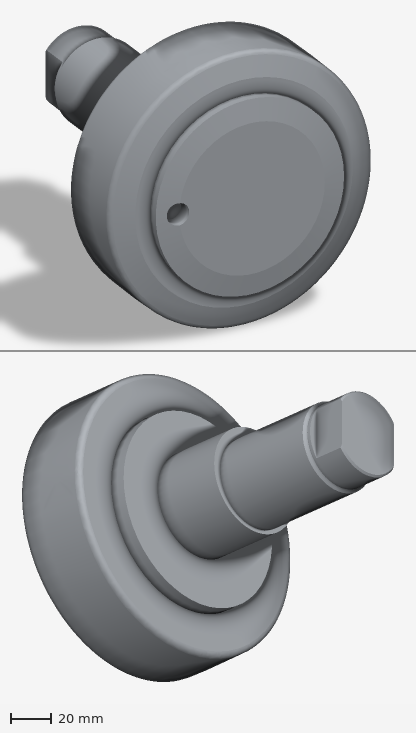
import cadquery as cq


tip_diameter = 45.0
tip_length = 20.0
tip_chamfer = 1.0
flat_length = 18.0
across_flats = 36.0

shank_diameter = 48.0
shank_chamfer_length = 1.6
collar_diameter = 56.0
collar_start = 80.0
collar_offset = 2.0

washer_diameter = 103.0
washer_start = 120.1

roller_diameter = 149.0
roller_start = 128.7
roller_end = 173.6
crown_radius = 500.5
corner_radius = 3.0
shoulder_start = 169.8
shoulder_end_diameter = 122.3

clearance_diameter = 103.5
clearance_depth = 2.0

neck_diameter = 101.2
cap_diameter = 106.0
cap_start = 174.5
cap_cone_start = 179.8
cap_face_diameter = 81.9
total_length = 182.0

hole_diameter = 12.0
hole_depth = 12.0
hole_distance = 41.3


def disc(start, end, diameter):
    """Cylinder along X between two stations."""
    return cq.Workplane("YZ").workplane(offset=start).circle(diameter / 2).extrude(end - start)


def revolved(outline):
    """Turn an outline drawn in the XY plane around the X axis."""
    return outline.close().revolve(360, (0, 0, 0), (1, 0, 0))


def make_stud():
    tip_radius = tip_diameter / 2
    shank_radius = shank_diameter / 2
    profile = (
        cq.Workplane("XY")
        .moveTo(0, 0)
        .lineTo(0, tip_radius - tip_chamfer)
        .lineTo(tip_chamfer, tip_radius)
        .lineTo(tip_length, tip_radius)
        .lineTo(tip_length + shank_chamfer_length, shank_radius)
        .lineTo(washer_start, shank_radius)
        .lineTo(washer_start, 0)
    )
    flats_zone = cq.Workplane("XY").box(flat_length, across_flats, tip_diameter)
    flats_zone = flats_zone.translate((flat_length / 2, 0, 0))
    rest_zone = disc(flat_length, washer_start, shank_diameter)
    return revolved(profile).intersect(flats_zone.union(rest_zone))


def make_collar():
    return disc(collar_start, washer_start, collar_diameter).translate((0, 0, collar_offset))


def make_roller():
    rim_radius = roller_diameter / 2
    rim_middle = (roller_start + shoulder_start) / 2
    half_width = (shoulder_start - roller_start) / 2
    crown_drop = crown_radius - (crown_radius**2 - half_width**2) ** 0.5
    edge_radius = rim_radius - crown_drop
    profile = (
        cq.Workplane("XY")
        .moveTo(roller_start, 0)
        .lineTo(roller_start, edge_radius)
        .threePointArc((rim_middle, rim_radius), (shoulder_start, edge_radius))
        .lineTo(roller_end, shoulder_end_diameter / 2)
        .lineTo(roller_end, 0)
    )
    rim_corners = cq.selectors.BoxSelector(
        (roller_start - corner_radius, -corner_radius, -corner_radius),
        (shoulder_start + corner_radius, corner_radius, corner_radius),
    )
    roller = revolved(profile).edges(rim_corners).fillet(corner_radius)
    clearance_end = roller_start + clearance_depth
    return roller.cut(disc(roller_start, clearance_end, clearance_diameter))


def make_cap():
    profile = (
        cq.Workplane("XY")
        .moveTo(cap_start, 0)
        .lineTo(cap_start, cap_diameter / 2)
        .lineTo(cap_cone_start, cap_diameter / 2)
        .lineTo(total_length, cap_face_diameter / 2)
        .lineTo(total_length, 0)
    )
    neck = disc(roller_end, cap_start, neck_diameter)
    hole = disc(total_length - hole_depth, total_length, hole_diameter)
    return revolved(profile).union(neck).cut(hole.translate((0, -hole_distance, 0)))


result = (
    make_stud()
    .union(make_collar())
    .union(disc(washer_start, roller_start + clearance_depth, washer_diameter))
    .union(make_roller())
    .union(make_cap())
)